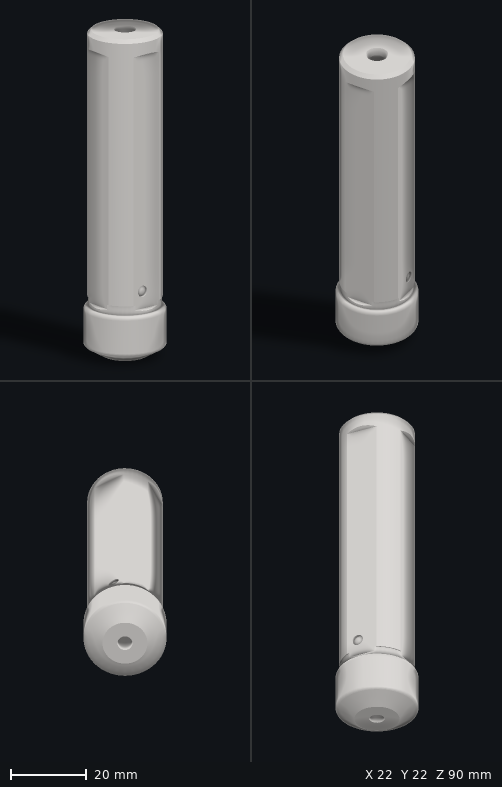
import cadquery as cq
import math

total_height = 90.0
cap_height = 13.8
neck_top = 16.4

shaft_radius = 10.0
neck_radius = 9.7
top_chamfer = 1.0

cap_radius = 11.0
cap_bottom_radius = 5.9
cap_cone_angle = 30.0
cap_bottom_fillet = 1.0
cap_top_radius = 10.4
cap_rim_height = 1.1
cone_height = (cap_radius - cap_bottom_radius) * math.tan(math.radians(cap_cone_angle))

flat_distance = 9.0
flat_count = 4
flat_bottom = 15.1
flat_top = 85.05
flat_end_angle = 35.0

bore_radius = 2.0
countersink_radius = 3.0
countersink_angle = 60.0
countersink_depth = (countersink_radius - bore_radius) / math.tan(math.radians(countersink_angle / 2))

pin_radius = 1.5
pin_length = 17.6
pin_dome_height = 0.5
pin_y = -1.3
pin_z = 19.9


def cylinder(radius, bottom, top):
    return cq.Workplane("XY").workplane(offset=bottom).circle(radius).extrude(top - bottom)


def make_shaft():
    """Round shaft on a slightly thinner neck, chamfered at the top."""
    shaft = cylinder(shaft_radius, neck_top, total_height).faces(">Z").chamfer(top_chamfer)
    return shaft.union(cylinder(neck_radius, cap_height, neck_top))


def make_cap():
    """Larger cap with a conical underside, a filleted lower rim and an arched upper rim."""
    rim_width = cap_radius - cap_top_radius
    rim_radius = (rim_width**2 + cap_rim_height**2) / (2 * rim_width)
    half_rim_angle = math.asin(cap_rim_height / rim_radius) / 2
    rim_bottom = cap_height - cap_rim_height
    rim_middle = (
        cap_radius - rim_radius * (1 - math.cos(half_rim_angle)),
        rim_bottom + rim_radius * math.sin(half_rim_angle),
    )
    cap = (
        cq.Workplane("XZ")
        .lineTo(cap_bottom_radius, 0)
        .lineTo(cap_radius, cone_height)
        .lineTo(cap_radius, rim_bottom)
        .threePointArc(rim_middle, (cap_top_radius, cap_height))
        .lineTo(0, cap_height)
        .close()
        .revolve(360, (0, 0), (0, 1))
    )
    lower_half = cq.selectors.BoxSelector(
        (-cap_radius, -cap_radius, cone_height / 2),
        (cap_radius, cap_radius, cap_height / 2),
    )
    return cap.edges("%CIRCLE").edges(lower_half).fillet(cap_bottom_fillet)


def make_flat_cutter():
    """Prism that cuts one flat on the +X side; its ends slope outward."""
    depth = cap_radius - flat_distance
    end_run = depth * math.tan(math.radians(flat_end_angle))
    section = [
        (flat_distance, flat_bottom),
        (cap_radius, flat_bottom - end_run),
        (cap_radius, flat_top + end_run),
        (flat_distance, flat_top),
    ]
    return cq.Workplane("XZ").polyline(section).close().extrude(shaft_radius, both=True)


def make_bore():
    """Through bore and its conical countersink."""
    half_profile = [
        (0, 0),
        (bore_radius, 0),
        (bore_radius, total_height - countersink_depth),
        (countersink_radius, total_height),
        (0, total_height),
    ]
    return cq.Workplane("XZ").polyline(half_profile).close().revolve(360, (0, 0), (0, 1))


def make_pin_hole():
    return cq.Workplane("YZ").center(pin_y, pin_z).circle(pin_radius).extrude(shaft_radius, both=True)


def make_pin():
    """Pin along X, with a shallow spherical dome on each end."""
    half_length = pin_length / 2
    shoulder = half_length - pin_dome_height
    dome_radius = (pin_radius**2 + pin_dome_height**2) / (2 * pin_dome_height)
    dome_angle = math.asin(pin_radius / dome_radius) / 2
    mid_x = half_length - dome_radius * (1 - math.cos(dome_angle))
    mid_r = dome_radius * math.sin(dome_angle)
    pin = (
        cq.Workplane("XZ")
        .moveTo(-half_length, 0)
        .threePointArc((-mid_x, mid_r), (-shoulder, pin_radius))
        .lineTo(shoulder, pin_radius)
        .threePointArc((mid_x, mid_r), (half_length, 0))
        .close()
        .revolve(360, (0, 0), (1, 0))
    )
    return pin.translate((0, pin_y, pin_z))


body = make_shaft()
for index in range(flat_count):
    body = body.cut(make_flat_cutter().rotate((0, 0, 0), (0, 0, 1), index * 360 / flat_count))
body = body.union(make_cap())
body = body.cut(make_bore()).cut(make_pin_hole())
result = body.union(make_pin())